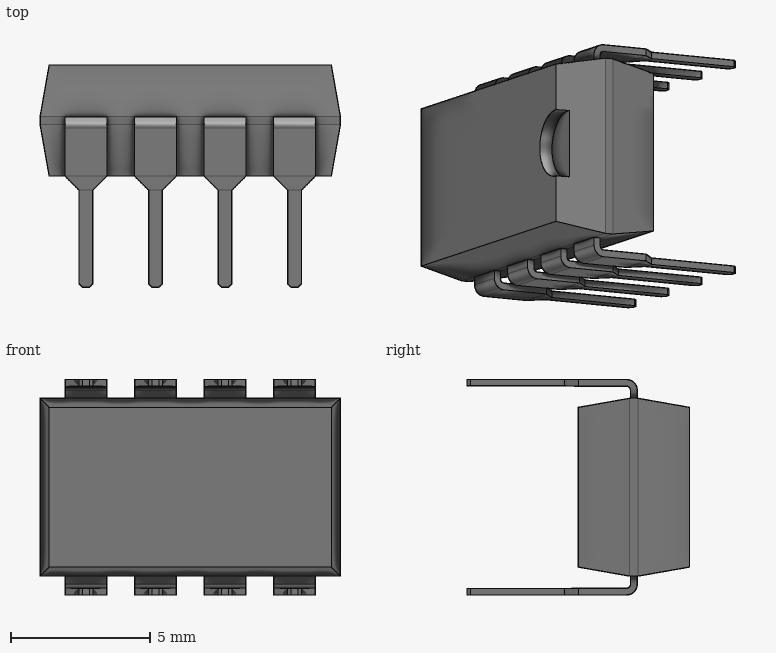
import cadquery as cq
import math

body_length = 10.8
body_height = 6.4
body_thickness = 4.0
band_thickness = 0.3
draft_angle = 10.0

notch_diameter = 2.42
notch_depth = 0.5

leads_per_row = 4
lead_pitch = 2.5
lead_span = 7.76
lead_thickness = 0.25
pin_thickness = 0.24
pin_rise = 0.005
inner_bend_radius = 0.14
shoulder_width = 1.5
pin_width = 0.5
taper_length = 0.5
tip_chamfer = 0.13
overall_depth = 8.0

half_depth = (body_thickness - band_thickness) / 2
front_face_y = -body_thickness / 2
back_face_y = body_thickness / 2
tip_y = back_face_y - overall_depth
taper_end_y = front_face_y - taper_length
draft_inset = half_depth * math.tan(math.radians(draft_angle))
outer_bend_radius = inner_bend_radius + lead_thickness
lead_outer_z = lead_span / 2 - pin_rise
lead_inner_z = lead_outer_z - lead_thickness
lead_mid_z = (lead_outer_z + lead_inner_z) / 2
pin_mid_z = (lead_span - pin_thickness) / 2

lead_back_y = lead_thickness / 2
lead_front_y = -lead_thickness / 2


def make_body():
    """Parting band plus the two halves that taper away from it."""
    band = cq.Workplane("XZ").rect(body_length, body_height).extrude(band_thickness / 2, both=True)
    front_half = (
        cq.Workplane("XZ", origin=(0, -band_thickness / 2, 0))
        .rect(body_length, body_height)
        .extrude(half_depth, taper=draft_angle)
    )
    back_half = front_half.mirror("XZ")
    return band.union(front_half).union(back_half)


def make_notch():
    """Cylinder centred on the -X edge of the +Y face."""
    notch_x = -(body_length / 2 - draft_inset)
    return (
        cq.Workplane("XZ", origin=(notch_x, back_face_y, 0))
        .circle(notch_diameter / 2)
        .extrude(notch_depth)
    )


def make_shoulder():
    """Wide bent strip of the upper lead, from the body's mid-plane out to the taper."""
    bend_y = lead_back_y - outer_bend_radius
    bend_z = lead_outer_z - outer_bend_radius
    diagonal = math.sqrt(0.5)
    outer_mid = (bend_y + outer_bend_radius * diagonal, bend_z + outer_bend_radius * diagonal)
    inner_mid = (bend_y + inner_bend_radius * diagonal, bend_z + inner_bend_radius * diagonal)
    return (
        cq.Workplane("YZ")
        .moveTo(lead_back_y, 0)
        .lineTo(lead_back_y, bend_z)
        .threePointArc(outer_mid, (bend_y, lead_outer_z))
        .lineTo(front_face_y, lead_outer_z)
        .lineTo(front_face_y, lead_inner_z)
        .lineTo(bend_y, lead_inner_z)
        .threePointArc(inner_mid, (lead_front_y, bend_z))
        .lineTo(lead_front_y, 0)
        .close()
        .extrude(shoulder_width / 2, both=True)
    )


def make_taper():
    """Transition from the shoulder section to the narrower pin section, rising slightly outwards."""
    return (
        cq.Workplane("XZ", origin=(0, front_face_y, lead_mid_z))
        .rect(shoulder_width, lead_thickness)
        .workplane(offset=taper_length)
        .center(0, pin_mid_z - lead_mid_z)
        .rect(pin_width, pin_thickness)
        .loft(ruled=True)
    )


def make_pin():
    """Straight pin with its two tip corners chamfered."""
    pin_length = taper_end_y - tip_y
    return (
        cq.Workplane("XZ", origin=(0, taper_end_y, pin_mid_z))
        .rect(pin_width, pin_thickness)
        .extrude(pin_length)
        .faces("<Y")
        .edges("|Z")
        .chamfer(tip_chamfer)
    )


result = make_body().cut(make_notch())
upper_lead = make_shoulder().union(make_taper()).union(make_pin())
lower_lead = upper_lead.mirror("XY")
for index in range(leads_per_row):
    lead_x = (index - (leads_per_row - 1) / 2) * lead_pitch
    for lead in (upper_lead, lower_lead):
        result = result.union(lead.translate((lead_x, 0, 0)))